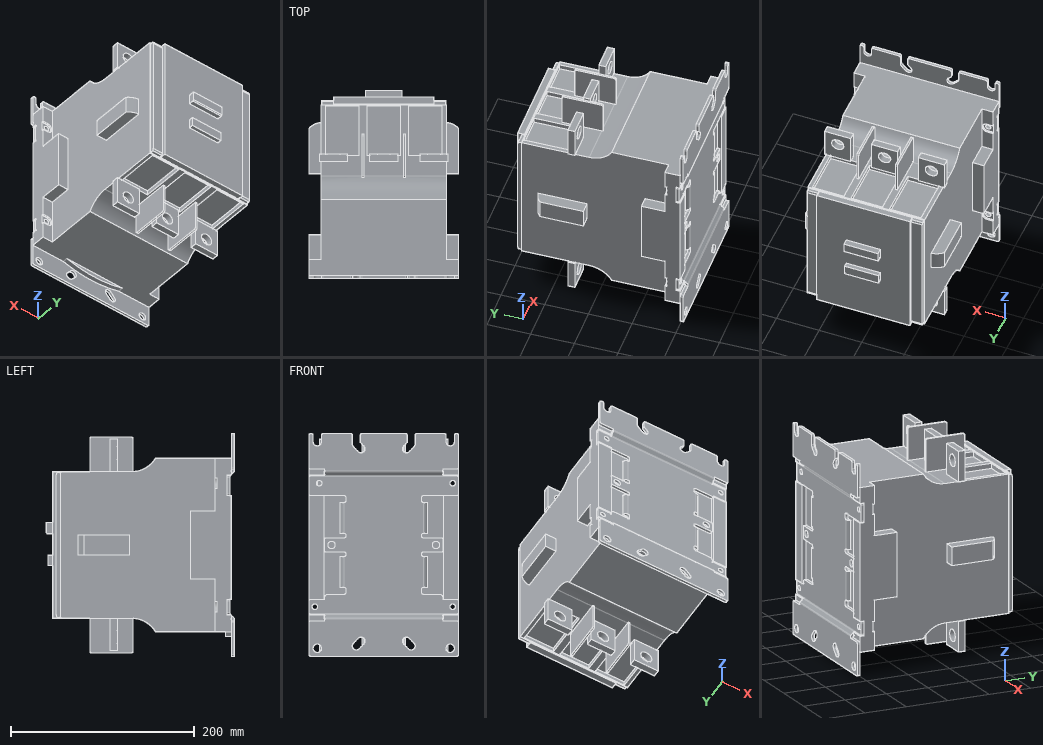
import cadquery as cq
import math

width = 163.0
height = 243.0
depth = 205.0

sheet = 3.5
joggle = 4.5
flange_start_z = 80.0
relief_outer_z = 82.5
relief_inner_z = 75.5
plate_inner_x = 64.5
bend_round = 1.2
plate_corner = 2.0
floor_y = joggle + sheet

flange_hole_x = 72.5
flange_hole_z = 112.5
flange_hole_dia = 9.0
key_outer_x = 30.0
key_inner_x = 24.8
key_outer_z = 110.0
key_inner_z = 104.7
key_width = 8.5

corner_hole_x = 75.0
corner_hole_z = 67.3
corner_hole_dia = 5.8
offset_hole_x = 70.2
tongue_hole_x = 56.9
tongue_hole_dia = 8.0

window_inner_x = 43.5
window_low_z = 7.8
window_high_z = 53.7
finger_tip_x = 41.0
low_finger_width = 4.9
high_finger_width = 7.5
finger_round = 2.2
window_corner = 3.6
tongue_corner = 1.2
bend_radius = 4.1
tab_end_y = 14.5

body_half_x = 68.5
body_front_y = 189.3
body_front_half_z = 80.0
body_back_half_z = 94.5
shoulder_front_y = 111.8
shoulder_back_y = 86.0
base_front_y = 21.0
block_front_y = 47.9
block_half_z = 37.0
recess_half_z = 76.0
rim_inner_x = 65.1
rim_low_z = -59.3
seat_depth = 2.0
seat_width = 11.7

grip_half_z = 10.7
grip_back_y = 114.2
grip_edge_y = 163.8
grip_mid_x = 76.0
grip_mid_y = 168.0
grip_root_y = 170.0

boss_half_x = 39.0
boss_drop = 5.5
boss_front_y = 9.7

pocket_pitch = 45.2
pocket_width = 37.0
pocket_back_y = 134.0
pocket_front_y = 188.0
pocket_depth = 5.8
barrier_thickness = 2.2
barrier_back_y = 110.3
barrier_front_y = 157.5
barrier_end_z = 117.9
barrier_corner = 2.2

terminal_pitch = 55.0
terminal_width = 30.5
terminal_back_y = 127.5
terminal_front_y = 135.5
terminal_end_z = 115.2
terminal_hole_z = 100.4
terminal_hole_dia = 14.0

cover_half_x = 67.5
cover_half_z = 78.7
cover_front_y = 194.2
cover_bevel = 2.7
cover_bevel_drop = 1.0
panel_half_x = 54.7
panel_back_y = 190.3
panel_front_y = 198.0
button_half_x = 20.0
button_bevel = 1.2
upper_button_z = (12.2, 24.5)
lower_button_z = (-22.5, -11.2)
lower_button_front_y = 203.1

half_width = width / 2
half_height = height / 2
pick_margin = 0.2


def box(x0, x1, y0, y1, z0, z1):
    """Block between two opposite corners."""
    return cq.Workplane("XY").box(x1 - x0, y1 - y0, z1 - z0, centered=False).translate((x0, y0, z0))


def cylinder_y(x, z, diameter, y0, y1):
    """Round bar along Y."""
    return cq.Workplane("XZ", origin=(x, y0, z)).circle(diameter / 2).extrude(y0 - y1)


def corner_at(x, z):
    """Selector for edges along Y in the plate at the given X and Z."""
    return cq.selectors.BoxSelector(
        (x - pick_margin, 0, z - pick_margin), (x + pick_margin, depth, z + pick_margin)
    )


def both_sides(shape):
    """The shape together with its mirror image in X."""
    return shape.union(shape.mirror("YZ"))


def all_quarters(shape):
    """The shape repeated by mirroring in X and in Z."""
    pair = both_sides(shape)
    return pair.union(pair.mirror("XY"))



def joggled_sheet():
    """Side profile of the sheet, stepping forward between the flanges."""
    slope_end_z = flange_start_z - joggle
    thickness_shift = sheet * math.tan(math.pi / 8)
    back_edge = [
        (0, half_height),
        (0, flange_start_z),
        (joggle, slope_end_z),
        (joggle, -slope_end_z),
        (0, -flange_start_z),
        (0, -half_height),
    ]
    front_edge = [
        (sheet, -half_height),
        (sheet, -flange_start_z - thickness_shift),
        (floor_y, -slope_end_z - thickness_shift),
        (floor_y, slope_end_z + thickness_shift),
        (sheet, flange_start_z + thickness_shift),
        (sheet, half_height),
    ]
    profile = cq.Workplane("YZ").polyline(back_edge + front_edge).close()
    strip = profile.extrude(half_width, both=True)
    bends = [
        (y, side * z) for y, z in ((0, flange_start_z), (joggle, slope_end_z)) for side in (1, -1)
    ]
    for y, z in bends:
        bend = cq.selectors.BoxSelector(
            (-half_width, y - pick_margin, z - pick_margin), (half_width, y + pick_margin, z + pick_margin)
        )
        strip = strip.edges("|X").edges(bend).fillet(bend_round)
    return strip


def plate_window():
    """Window beside one rim, with a round-ended finger above and below the tab."""
    opening = box(-plate_inner_x, -window_inner_x, 0, floor_y, window_low_z, window_high_z)
    for z0, z1 in (
        (window_low_z, window_low_z + low_finger_width),
        (window_high_z - high_finger_width, window_high_z),
    ):
        finger = box(-plate_inner_x, -finger_tip_x, 0, floor_y, z0, z1)
        opening = opening.union(finger.edges("|Y and >X").fillet(finger_round))
    return opening


def bent_tab():
    """Tab turned forward from the inner edge of a window."""
    outer_x = -window_inner_x - bend_radius
    inner_x = outer_x + sheet
    bend_end_y = joggle + bend_radius
    outer_arc = bend_radius * math.sqrt(0.5)
    inner_arc = (bend_radius - sheet) * math.sqrt(0.5)
    return (
        cq.Workplane("XY")
        .moveTo(-window_inner_x, joggle)
        .threePointArc((-window_inner_x - outer_arc, bend_end_y - outer_arc), (outer_x, bend_end_y))
        .lineTo(outer_x, tab_end_y)
        .lineTo(inner_x, tab_end_y)
        .lineTo(inner_x, bend_end_y)
        .threePointArc((-window_inner_x - inner_arc, bend_end_y - inner_arc), (-window_inner_x, floor_y))
        .close()
        .extrude(window_high_z - high_finger_width - window_low_z - low_finger_width)
        .translate((0, 0, window_low_z + low_finger_width))
    )


def diagonal_slot():
    """Slanted keyhole slot of the lower flange's left half."""
    run = key_outer_x - key_inner_x
    rise = key_outer_z - key_inner_z
    return (
        cq.Workplane("XZ")
        .center(-(key_outer_x + key_inner_x) / 2, -(key_outer_z + key_inner_z) / 2)
        .transformed(rotate=(0, 0, math.degrees(math.atan2(rise, run))))
        .slot2D(math.hypot(run, rise) + key_width, key_width)
        .extrude(-sheet)
    )


def make_plate():
    plate = joggled_sheet()
    relief = box(-half_width, -plate_inner_x, 0, floor_y, relief_inner_z, relief_outer_z)
    plate = plate.cut(all_quarters(relief))
    plate = plate.cut(both_sides(box(-half_width, -plate_inner_x, 0, floor_y, rim_low_z, window_high_z)))
    plate = plate.cut(all_quarters(plate_window()))

    outer_entry = box(
        -flange_hole_x - flange_hole_dia / 2, -flange_hole_x + flange_hole_dia / 2,
        0, sheet, flange_hole_z, half_height,
    )
    key_entry = box(
        -key_outer_x - key_width / 2, -key_outer_x + key_width / 2,
        0, sheet, key_outer_z, half_height,
    )
    plate = plate.cut(both_sides(outer_entry)).cut(both_sides(key_entry))

    plate = plate.edges("|Y").edges(">Z or <Z").fillet(plate_corner)
    plate = plate.edges("|Y").edges("<X or >X").fillet(plate_corner)

    for z, radius in (
        (window_low_z, tongue_corner),
        (-window_low_z, tongue_corner),
        (-window_high_z, window_corner),
    ):
        for x in (-plate_inner_x, plate_inner_x):
            plate = plate.edges("|Y").edges(corner_at(x, z)).fillet(radius)

    plate = plate.cut(all_quarters(cylinder_y(-flange_hole_x, flange_hole_z, flange_hole_dia, 0, sheet)))
    plate = plate.cut(all_quarters(diagonal_slot()))
    plate = plate.cut(both_sides(cylinder_y(-tongue_hole_x, 0, tongue_hole_dia, 0, floor_y)))
    for x, z in (
        (-offset_hole_x, corner_hole_z),
        (corner_hole_x, corner_hole_z),
        (-corner_hole_x, -corner_hole_z),
        (corner_hole_x, -corner_hole_z),
    ):
        plate = plate.cut(cylinder_y(x, z, corner_hole_dia, 0, floor_y))
    return plate.union(all_quarters(bent_tab()))



def shouldered_body():
    """Main block whose top and bottom step out toward the back through concave arcs."""
    run = shoulder_front_y - shoulder_back_y
    rise = body_back_half_z - body_front_half_z
    radius = (run**2 + rise**2) / (2 * rise)
    half_angle = math.asin(run / radius) / 2
    arc_y = shoulder_front_y - radius * math.sin(half_angle)
    arc_z = body_front_half_z + radius * (1 - math.cos(half_angle))
    return (
        cq.Workplane("YZ")
        .moveTo(sheet, -body_back_half_z)
        .lineTo(shoulder_back_y, -body_back_half_z)
        .threePointArc((arc_y, -arc_z), (shoulder_front_y, -body_front_half_z))
        .lineTo(body_front_y, -body_front_half_z)
        .lineTo(body_front_y, body_front_half_z)
        .lineTo(shoulder_front_y, body_front_half_z)
        .threePointArc((arc_y, arc_z), (shoulder_back_y, body_back_half_z))
        .lineTo(sheet, body_back_half_z)
        .close()
        .extrude(body_half_x, both=True)
    )


def side_grip():
    """Grip on the left side with a curved front end."""
    return (
        cq.Workplane("XY")
        .moveTo(-body_half_x, grip_back_y)
        .lineTo(-half_width, grip_back_y)
        .lineTo(-half_width, grip_edge_y)
        .threePointArc((-grip_mid_x, grip_mid_y), (-body_half_x, grip_root_y))
        .close()
        .extrude(grip_half_z, both=True)
    )


def bottom_boss():
    """Shallow round segment hanging below the back of the housing."""
    return (
        cq.Workplane("XZ", origin=(0, sheet, 0))
        .moveTo(-boss_half_x, -body_back_half_z)
        .threePointArc((0, -body_back_half_z - boss_drop), (boss_half_x, -body_back_half_z))
        .close()
        .extrude(sheet - boss_front_y)
    )


def plate_recess():
    """Back recess that receives the plate, narrower between the two side rims."""
    recess = box(-half_width, half_width, sheet, floor_y, -recess_half_z, recess_half_z)
    bend_room = box(-rim_inner_x, rim_inner_x, sheet, floor_y, -flange_start_z, flange_start_z)
    rim = box(-half_width, -rim_inner_x, sheet, floor_y, rim_low_z, window_high_z)
    return recess.union(bend_room).cut(both_sides(rim))


def screw_seat():
    """Seat open to the left side around a corner hole."""
    seat_y = base_front_y - seat_depth
    end = cylinder_y(-corner_hole_x, corner_hole_z, seat_width, seat_y, base_front_y)
    mouth = box(
        -half_width, -corner_hole_x, seat_y, base_front_y,
        corner_hole_z - seat_width / 2, corner_hole_z + seat_width / 2,
    )
    return end.union(mouth)


def phase_barrier(x):
    """Upper barrier between two terminals, with rounded outer corners."""
    barrier = box(
        x - barrier_thickness / 2, x + barrier_thickness / 2,
        barrier_back_y, barrier_front_y, body_front_half_z, barrier_end_z,
    )
    return barrier.edges("|X and >Z").fillet(barrier_corner)


def terminal_pocket(x):
    """Shallow pocket in the top in front of a terminal."""
    return box(
        x - pocket_width / 2, x + pocket_width / 2, pocket_back_y, pocket_front_y,
        body_front_half_z - pocket_depth, body_front_half_z,
    )


def make_housing(plate):
    base = box(-half_width, half_width, sheet, base_front_y, -body_back_half_z, body_back_half_z)
    blocks = box(-half_width, half_width, base_front_y, block_front_y, -block_half_z, block_half_z)
    housing = shouldered_body().union(base).union(blocks)
    housing = housing.union(both_sides(side_grip())).union(bottom_boss())
    for place in (-1, 0, 1):
        pocket = terminal_pocket(place * pocket_pitch)
        housing = housing.cut(pocket).cut(pocket.mirror("XY"))
    housing = housing.union(all_quarters(phase_barrier(-pocket_pitch / 2)))
    housing = housing.cut(plate_recess())
    hole = cylinder_y(-corner_hole_x, corner_hole_z, corner_hole_dia, 0, base_front_y)
    housing = housing.cut(all_quarters(hole)).cut(all_quarters(screw_seat()))

    return housing.cut(plate)



def make_terminal(x, side):
    """Drilled flat bar standing on the top (side = 1) or bottom (side = -1) of the housing."""
    bar = box(
        x - terminal_width / 2, x + terminal_width / 2,
        terminal_back_y, terminal_front_y, body_front_half_z, terminal_end_z,
    )
    bar = bar.cut(cylinder_y(x, terminal_hole_z, terminal_hole_dia, terminal_back_y, terminal_front_y))
    return bar if side > 0 else bar.mirror("XY")



def make_cover():
    cover = box(-cover_half_x, cover_half_x, body_front_y, cover_front_y, -cover_half_z, cover_half_z)
    cover = cover.faces(">Y").edges("|X").chamfer(cover_bevel, cover_bevel_drop)
    panel = box(
        -panel_half_x, panel_half_x, panel_back_y, panel_front_y, -body_front_half_z, body_front_half_z
    )
    upper_button = box(-button_half_x, button_half_x, panel_front_y, depth, *upper_button_z)
    upper_button = upper_button.faces(">Y").edges("<Z").chamfer(button_bevel)
    lower_button = box(-button_half_x, button_half_x, panel_front_y, lower_button_front_y, *lower_button_z)
    return cover.union(panel).union(upper_button).union(lower_button)


plate = make_plate()
housing = make_housing(plate)
cover = make_cover()
terminals = [
    make_terminal(place * terminal_pitch, side) for side in (1, -1) for place in (-1, 0, 1)
]

result = cq.Compound.makeCompound(
    [housing.val(), plate.val(), cover.val(), *[terminal.val() for terminal in terminals]]
)